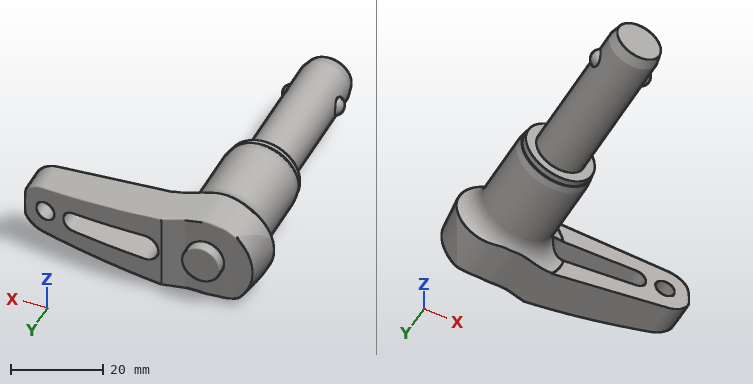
import cadquery as cq
import math


PIN_RADIUS = 6.0
PIN_LENGTH = 35.7
PIN_TIP_RADIUS = 5.4
PIN_TIP_LENGTH = 2.6

BALL_RADIUS = 2.25
BALL_CENTER_X = 4.97
BALL_BELOW_SHOULDER = 27.2

COLLAR_RADIUS = 8.52
COLLAR_HEIGHT = 1.5
BODY_RADIUS = 9.03
BODY_FOOT_RADIUS = 8.78
BODY_FOOT_HEIGHT = 1.9

FLARE_BASE_Y = 18.9
FLARE_RADIUS = 5.3
FLARE_RIM_RADIUS = BODY_RADIUS + FLARE_RADIUS
FLARE_TOP_Y = FLARE_BASE_Y + FLARE_RADIUS
FLARE_LAND = 0.3

BUTTON_RADIUS = 4.5
BUTTON_TOP_Y = 35.0
BUTTON_EDGE_RADIUS = 0.4

HUB_RADIUS = 10.105
HEEL_CIRCLE = (-2.8, 9.8)
HUB_CIRCLE = (0.0, HUB_RADIUS)
LEVER_TIP_CIRCLE = (38.3, 6.2)

HEEL_FLAT_END_X = -7.25
HEEL_TOP_Y = 33.05
HOLLOW_BOTTOM = (0.3, 32.35)
HOLLOW_END = (4.5, 32.7)
CREST = (9.6, 34.25)
CROWN_MIDDLE = (26.0, 32.95)
TOP_EDGE_RADIUS = 0.4
RIM_SPLIT_Y = 28.0

UNDERSIDE_START_X = 10.5

HEEL_LOW_RADIUS = 12.6
HEEL_LOW_Y = 23.84
HEEL_TOP_RADIUS = 11.4
LEVER_TIP_LOW_RADIUS = 44.5
LEVER_TIP_LOW_Y = 23.7
LEVER_TIP_TOP_RADIUS = 43.6
LEVER_TIP_TOP_Y = 29.93
LEVER_TIP_BOTTOM_Y = 22.65
LEVER_TIP_EDGE_RADIUS = LEVER_TIP_LOW_Y - LEVER_TIP_BOTTOM_Y
LEVER_TIP_EDGE_X = LEVER_TIP_LOW_RADIUS - LEVER_TIP_EDGE_RADIUS

SLOT_CIRCLES = [(13.5, 3.2), (31.25, 2.45)]
HOLE_RADIUS = 2.3


def wrapped_prism(circles, y_low, y_high):
    """Prism along Y around circles centered on the X axis and joined by tangent lines."""
    upper = []
    for (x_a, r_a), (x_b, r_b) in zip(circles, circles[1:]):
        lean = (r_a - r_b) / (x_b - x_a)
        rise = math.sqrt(1 - lean**2)
        upper.append((x_a + r_a * lean, r_a * rise))
        upper.append((x_b + r_b * lean, r_b * rise))
    first_x, first_r = circles[0]
    last_x, last_r = circles[-1]

    outline = cq.Workplane("XZ", origin=(0, y_low, 0)).moveTo(*upper[0]).lineTo(*upper[1])
    for i in range(1, len(circles) - 1):
        x, r = circles[i]
        outline = outline.threePointArc((x, r), upper[2 * i]).lineTo(*upper[2 * i + 1])
    lower = [(x, -z) for x, z in upper]
    outline = outline.threePointArc((last_x + last_r, 0), lower[-1]).lineTo(*lower[-2])
    for i in range(len(circles) - 2, 0, -1):
        x, r = circles[i]
        outline = outline.threePointArc((x, -r), lower[2 * i - 1]).lineTo(*lower[2 * i - 2])
    outline = outline.threePointArc((first_x - first_r, 0), upper[0]).close()
    return outline.extrude(y_low - y_high)


def make_plan():
    """Handle plan outline carried along Y over the full handle height."""
    circles = [HEEL_CIRCLE, HUB_CIRCLE, LEVER_TIP_CIRCLE]
    return wrapped_prism(circles, FLARE_BASE_Y, BUTTON_TOP_Y)


def turned(outline):
    """Revolve a closed outline about the pin axis."""
    return outline.revolve(360, (0, 0), (0, 1))


def make_pin_and_body():
    """Pin, collar and round body as one turned shape."""
    foot_top_y = COLLAR_HEIGHT + BODY_FOOT_HEIGHT
    return turned(
        cq.Workplane("XY")
        .moveTo(0, -PIN_LENGTH)
        .lineTo(PIN_TIP_RADIUS, -PIN_LENGTH)
        .lineTo(PIN_RADIUS, -PIN_LENGTH + PIN_TIP_LENGTH)
        .lineTo(PIN_RADIUS, 0)
        .lineTo(COLLAR_RADIUS, 0)
        .lineTo(COLLAR_RADIUS, COLLAR_HEIGHT)
        .lineTo(BODY_FOOT_RADIUS, COLLAR_HEIGHT)
        .lineTo(BODY_RADIUS, foot_top_y)
        .lineTo(BODY_RADIUS, FLARE_BASE_Y)
        .lineTo(0, FLARE_BASE_Y)
        .close()
    )


def make_balls():
    """Two locking balls that stand out of the pin near its end."""
    ball = cq.Workplane("XY").sphere(BALL_RADIUS)
    right = ball.translate((BALL_CENTER_X, -BALL_BELOW_SHOULDER, 0))
    left = ball.translate((-BALL_CENTER_X, -BALL_BELOW_SHOULDER, 0))
    return right, left


def make_button():
    """Push button on the pin axis, standing above the thumb hollow."""
    return (
        cq.Workplane("XZ", origin=(0, FLARE_TOP_Y, 0))
        .circle(BUTTON_RADIUS)
        .extrude(FLARE_TOP_Y - BUTTON_TOP_Y)
        .faces(">Y")
        .edges()
        .fillet(BUTTON_EDGE_RADIUS)
    )


def make_flare():
    """Turned concave flare from the body up to the underside of the handle."""
    diagonal = FLARE_RADIUS * math.sqrt(0.5)
    return turned(
        cq.Workplane("XY")
        .moveTo(0, FLARE_BASE_Y)
        .lineTo(BODY_RADIUS, FLARE_BASE_Y)
        .threePointArc(
            (FLARE_RIM_RADIUS - diagonal, FLARE_BASE_Y + diagonal),
            (FLARE_RIM_RADIUS, FLARE_TOP_Y),
        )
        .lineTo(FLARE_RIM_RADIUS, FLARE_TOP_Y + FLARE_LAND)
        .lineTo(0, FLARE_TOP_Y + FLARE_LAND)
        .close()
    )


def make_lever_slab():
    """Side profile of the handle, carried across its full width along Z."""
    heel_x = -FLARE_RIM_RADIUS
    underside_slope = (LEVER_TIP_BOTTOM_Y - FLARE_TOP_Y) / (LEVER_TIP_EDGE_X - FLARE_RIM_RADIUS)
    underside_start_y = FLARE_TOP_Y + underside_slope * (UNDERSIDE_START_X - FLARE_RIM_RADIUS)
    return (
        cq.Workplane("XY")
        .moveTo(heel_x, FLARE_TOP_Y)
        .lineTo(heel_x, HEEL_TOP_Y)
        .lineTo(HEEL_FLAT_END_X, HEEL_TOP_Y)
        .threePointArc(HOLLOW_BOTTOM, HOLLOW_END)
        .lineTo(*CREST)
        .threePointArc(CROWN_MIDDLE, (LEVER_TIP_TOP_RADIUS, LEVER_TIP_TOP_Y))
        .lineTo(LEVER_TIP_LOW_RADIUS, LEVER_TIP_TOP_Y)
        .lineTo(LEVER_TIP_LOW_RADIUS, LEVER_TIP_BOTTOM_Y)
        .lineTo(LEVER_TIP_EDGE_X, LEVER_TIP_BOTTOM_Y)
        .lineTo(UNDERSIDE_START_X, underside_start_y)
        .lineTo(UNDERSIDE_START_X, FLARE_TOP_Y)
        .close()
        .extrude(HUB_RADIUS, both=True)
    )


def cone_radius(y, low, high):
    """Radius at height y of the cone through two (radius, y) points."""
    (r_low, y_low), (r_high, y_high) = low, high
    return r_low + (r_high - r_low) * (y - y_low) / (y_high - y_low)


def make_end_draft():
    """Envelope that drafts the heel and the lever tip with cones about the pin axis."""
    top_y = BUTTON_TOP_Y
    heel_low = (HEEL_LOW_RADIUS, HEEL_LOW_Y)
    heel_high = (HEEL_TOP_RADIUS, HEEL_TOP_Y)
    tip_low = (LEVER_TIP_LOW_RADIUS, LEVER_TIP_LOW_Y)
    tip_high = (LEVER_TIP_TOP_RADIUS, LEVER_TIP_TOP_Y)

    heel = turned(
        cq.Workplane("XY")
        .moveTo(0, FLARE_BASE_Y)
        .lineTo(cone_radius(FLARE_BASE_Y, heel_low, heel_high), FLARE_BASE_Y)
        .lineTo(cone_radius(top_y, heel_low, heel_high), top_y)
        .lineTo(0, top_y)
        .close()
    )
    reach = LEVER_TIP_LOW_RADIUS
    heel_side = cq.Workplane("XY").box(reach, 2 * top_y, 2 * reach).translate((-reach / 2, 0, 0))
    heel = heel.intersect(heel_side)

    diagonal = LEVER_TIP_EDGE_RADIUS * math.sqrt(0.5)
    tip = turned(
        cq.Workplane("XY")
        .moveTo(0, FLARE_BASE_Y)
        .lineTo(LEVER_TIP_EDGE_X - LEVER_TIP_EDGE_RADIUS, FLARE_BASE_Y)
        .lineTo(LEVER_TIP_EDGE_X - LEVER_TIP_EDGE_RADIUS, LEVER_TIP_BOTTOM_Y)
        .lineTo(LEVER_TIP_EDGE_X, LEVER_TIP_BOTTOM_Y)
        .threePointArc((LEVER_TIP_EDGE_X + diagonal, LEVER_TIP_LOW_Y - diagonal), tip_low)
        .lineTo(cone_radius(top_y, tip_low, tip_high), top_y)
        .lineTo(0, top_y)
        .close()
    )
    tip = tip.cut(heel_side)
    return heel.union(tip)


def make_hole():
    """Round hole through the lever tip, concentric with the rounded end."""
    return (
        cq.Workplane("XZ", origin=(LEVER_TIP_CIRCLE[0], FLARE_BASE_Y, 0))
        .circle(HOLE_RADIUS)
        .extrude(FLARE_BASE_Y - BUTTON_TOP_Y)
    )


def make_lever():
    """Lever slab trimmed to the handle plan, with its top rim rounded on both sides."""
    lever = make_lever_slab().intersect(make_plan())
    side_edges = lever.edges("not(|Y or |Z)")
    rim = side_edges.filter(lambda edge: edge.Center().y > RIM_SPLIT_Y)
    return rim.fillet(TOP_EDGE_RADIUS)


def make_handle():
    """Lever and flare with drafted ends and the openings through the lever."""
    flare = make_flare().intersect(make_plan())
    handle = make_lever().union(flare).intersect(make_end_draft())
    slot = wrapped_prism(SLOT_CIRCLES, FLARE_BASE_Y, BUTTON_TOP_Y)
    return handle.cut(slot).cut(make_hole())


result = make_handle().union(make_pin_and_body()).union(make_button())
for ball in make_balls():
    result = result.union(ball)